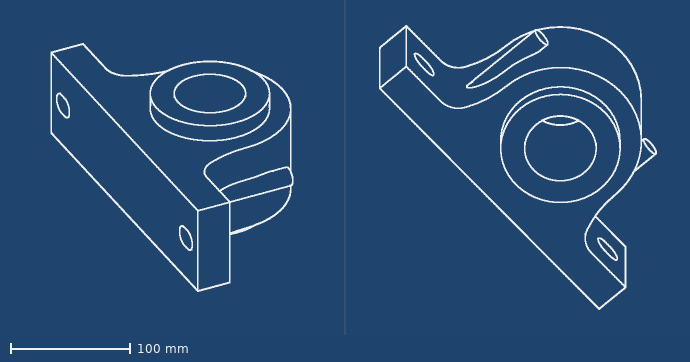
import cadquery as cq
import math

base_length = 275.0
base_thickness = 30.0
body_height = 80.0

axis_y = 80.0
housing_radius = 68.0
flare_radius = 92.5
fillet_radius = 20.0
boss_diameter = 100.0
boss_to_boss = 110.0
bore_diameter = 60.0

pin_diameter = 16.0
pin_end_y = 120.0

slot_spacing = 230.0
slot_length = 24.0
slot_width = 18.0

flare_centre_x = housing_radius + flare_radius
fillet_centre_y = base_thickness + fillet_radius
flare_angle = math.asin((axis_y - fillet_centre_y) / (flare_radius - fillet_radius))
fillet_mid_angle = (flare_angle + math.pi / 2) / 2
fillet_centre_x = flare_centre_x - (flare_radius - fillet_radius) * math.cos(flare_angle)


def flare_point(angle):
    """Point on the right flare, at an angle below the bore axis."""
    return (
        flare_centre_x - flare_radius * math.cos(angle),
        axis_y - flare_radius * math.sin(angle),
    )


def fillet_point(angle):
    """Point on the right fillet, at an angle below its centre."""
    return (
        fillet_centre_x - fillet_radius * math.cos(angle),
        fillet_centre_y - fillet_radius * math.sin(angle),
    )


def mirrored(point):
    """The matching point on the left half of the outline."""
    return (-point[0], point[1])


def make_body():
    """Base plate and housing extruded from one outline."""
    half_length = base_length / 2
    flare_mid = flare_point(flare_angle / 2)
    flare_end = flare_point(flare_angle)
    fillet_mid = fillet_point(fillet_mid_angle)
    fillet_end = (fillet_centre_x, base_thickness)
    return (
        cq.Workplane("XY")
        .moveTo(-half_length, 0)
        .lineTo(half_length, 0)
        .lineTo(half_length, base_thickness)
        .lineTo(*fillet_end)
        .threePointArc(fillet_mid, flare_end)
        .threePointArc(flare_mid, (housing_radius, axis_y))
        .threePointArc((0, axis_y + housing_radius), (-housing_radius, axis_y))
        .threePointArc(mirrored(flare_mid), mirrored(flare_end))
        .threePointArc(mirrored(fillet_mid), mirrored(fillet_end))
        .lineTo(-half_length, base_thickness)
        .close()
        .extrude(body_height / 2, both=True)
    )


def axial_cylinder(diameter):
    """Cylinder on the bore axis, as long as the distance between boss faces."""
    return cq.Workplane("XY").center(0, axis_y).circle(diameter / 2).extrude(boss_to_boss / 2, both=True)


def make_pins():
    """Two round pins rising along Y from the level of the base plate's back face."""
    return (
        cq.Workplane("XZ", origin=(0, base_thickness, 0))
        .pushPoints([(-housing_radius, 0), (housing_radius, 0)])
        .circle(pin_diameter / 2)
        .extrude(base_thickness - pin_end_y)
    )


def make_slots():
    """Two slots through the base plate, long side along X."""
    return (
        cq.Workplane("XZ")
        .pushPoints([(-slot_spacing / 2, 0), (slot_spacing / 2, 0)])
        .slot2D(slot_length, slot_width)
        .extrude(-base_thickness)
    )


result = (
    make_body()
    .union(axial_cylinder(boss_diameter))
    .union(make_pins())
    .cut(axial_cylinder(bore_diameter))
    .cut(make_slots())
)